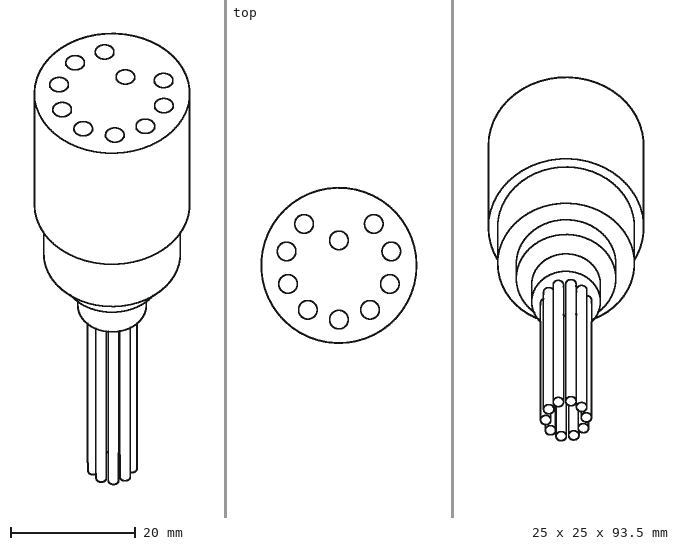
import cadquery as cq
import math

total_length = 93.5
wire_length = 40.1
sleeve_length = 6.0
cone_length = 2.0
neck_length = 5.05
collar_length = 12.4

head_diameter = 25.0
collar_diameter = 22.0
neck_diameter = 16.0
sleeve_diameter = 11.0

socket_diameter = 3.0
socket_depth = 10.0
socket_circle_radius = 8.7
socket_pitch_angle = 35.0
sockets_each_side = 4
inner_socket_offset = 4.0

wire_count = 10
wire_diameter = 1.7
wire_circle_radius = 3.3


def polar_point(radius, angle_degrees):
    angle = math.radians(angle_degrees)
    return (radius * math.cos(angle), radius * math.sin(angle))


def make_body():
    """Revolve the stepped head, collar, neck, cone and cable sleeve."""
    cone_bottom = wire_length + sleeve_length
    neck_bottom = cone_bottom + cone_length
    collar_bottom = neck_bottom + neck_length
    head_bottom = collar_bottom + collar_length
    return (
        cq.Workplane("XZ")
        .moveTo(0, wire_length)
        .lineTo(sleeve_diameter / 2, wire_length)
        .lineTo(sleeve_diameter / 2, cone_bottom)
        .lineTo(neck_diameter / 2, neck_bottom)
        .lineTo(neck_diameter / 2, collar_bottom)
        .lineTo(collar_diameter / 2, collar_bottom)
        .lineTo(collar_diameter / 2, head_bottom)
        .lineTo(head_diameter / 2, head_bottom)
        .lineTo(head_diameter / 2, total_length)
        .lineTo(0, total_length)
        .close()
        .revolve(360, (0, 0, 0), (0, 1, 0))
    )


def make_wires():
    """Straight wires hanging below the sleeve and reaching up into it."""
    first_angle = 90.0
    pitch_angle = 360.0 / wire_count
    centers = []
    for index in range(wire_count):
        centers.append(polar_point(wire_circle_radius, first_angle + index * pitch_angle))
    return (
        cq.Workplane("XY")
        .pushPoints(centers)
        .circle(wire_diameter / 2)
        .extrude(wire_length + sleeve_length / 2)
    )


def make_sockets():
    """Blind round sockets, spread evenly to both sides of the -Y direction."""
    middle_angle = -90.0
    centers = [(0, inner_socket_offset)]
    for step in range(-sockets_each_side, sockets_each_side + 1):
        centers.append(polar_point(socket_circle_radius, middle_angle + step * socket_pitch_angle))
    return (
        cq.Workplane("XY")
        .workplane(offset=total_length)
        .pushPoints(centers)
        .circle(socket_diameter / 2)
        .extrude(-socket_depth)
    )


result = make_body().union(make_wires()).cut(make_sockets())